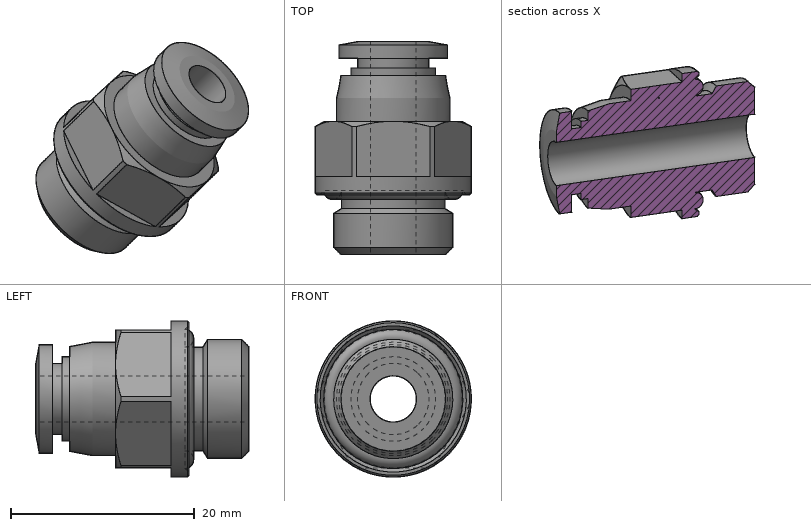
import cadquery as cq
import math


BORE_RADIUS = 2.5
THREAD_RADIUS = 6.48
THREAD_END_CHAMFER = 0.8
THREAD_LENGTH = 5.0
NECK_RADIUS = 5.65
RUNOUT_LENGTH = 0.5

FLANGE_RADIUS = 8.5
FLANGE_FACE_Y = 6.5
FLANGE_CHAMFER = 0.2
FLANGE_LENGTH = 2.0
GROOVE_MOUTH_RADIUS = 7.95
RING_SECTION_RADIUS = 0.96
RING_TIP_Y = 6.0

HEX_SIDES = 6
HEX_ACROSS_FLATS = 15.0
HEX_LENGTH = 6.0
HEX_CHAMFER_ANGLE = 30.0

SLEEVE_RADIUS = 6.18
SLEEVE_STRAIGHT_LENGTH = 2.5
SLEEVE_TAPER_LENGTH = 2.5
SLEEVE_TIP_RADIUS = 5.7
STEP_RADIUS = 4.6
STEP_LENGTH = 0.8
COLLAR_NECK_RADIUS = 3.88
COLLAR_NECK_LENGTH = 1.05
COLLAR_RADIUS = 5.92
COLLAR_LENGTH = 1.85
COLLAR_BEVEL_LENGTH = 0.4
COLLAR_FACE_RADIUS = 3.75

PROFILE_PLANE = cq.Plane(origin=(0, 0, 0), xDir=(0, 0, 1), normal=(-1, 0, 0))

RING_CENTER_RADIUS = NECK_RADIUS + RING_SECTION_RADIUS
RING_CENTER_Y = RING_TIP_Y + RING_SECTION_RADIUS
HEX_START_Y = FLANGE_FACE_Y + FLANGE_LENGTH
HEX_END_Y = HEX_START_Y + HEX_LENGTH
TAPER_START_Y = HEX_END_Y + SLEEVE_STRAIGHT_LENGTH
SLEEVE_END_Y = TAPER_START_Y + SLEEVE_TAPER_LENGTH
STEP_END_Y = SLEEVE_END_Y + STEP_LENGTH
COLLAR_START_Y = STEP_END_Y + COLLAR_NECK_LENGTH
COLLAR_END_Y = COLLAR_START_Y + COLLAR_LENGTH


def revolve_about_y(profile):
    """Turn a closed (radius, y) profile a full revolution about the Y axis."""
    return profile.close().revolve(360, (0, 0, 0), (0, 1, 0))


def spigot_and_flange():
    """Threaded spigot, neck, and flange with the sealing ring half sunk into its groove."""
    profile = (
        cq.Workplane(PROFILE_PLANE)
        .lineTo(THREAD_RADIUS - THREAD_END_CHAMFER, 0)
        .lineTo(THREAD_RADIUS, THREAD_END_CHAMFER)
        .lineTo(THREAD_RADIUS, THREAD_LENGTH - RUNOUT_LENGTH)
        .lineTo(NECK_RADIUS, THREAD_LENGTH)
        .lineTo(NECK_RADIUS, RING_CENTER_Y)
        .threePointArc(
            (RING_CENTER_RADIUS, RING_TIP_Y),
            (RING_CENTER_RADIUS + RING_SECTION_RADIUS, RING_CENTER_Y),
        )
        .lineTo(GROOVE_MOUTH_RADIUS, FLANGE_FACE_Y)
        .lineTo(FLANGE_RADIUS - FLANGE_CHAMFER, FLANGE_FACE_Y)
        .lineTo(FLANGE_RADIUS, FLANGE_FACE_Y + FLANGE_CHAMFER)
        .lineTo(FLANGE_RADIUS, HEX_START_Y)
        .lineTo(0, HEX_START_Y)
    )
    return revolve_about_y(profile)


def hexagon():
    """Hexagon with two flats facing +Z and -Z, corners turned to the flange diameter and chamfered."""
    across_corners = HEX_ACROSS_FLATS / math.cos(math.pi / HEX_SIDES)
    prism = (
        cq.Workplane("XZ", origin=(0, HEX_START_Y, 0))
        .polygon(HEX_SIDES, across_corners)
        .extrude(-HEX_LENGTH)
    )
    chamfer_top_radius = HEX_ACROSS_FLATS / 2
    chamfer_width = FLANGE_RADIUS - chamfer_top_radius
    chamfer_height = chamfer_width * math.tan(math.radians(HEX_CHAMFER_ANGLE))
    envelope = (
        cq.Workplane(PROFILE_PLANE)
        .moveTo(0, HEX_START_Y)
        .lineTo(FLANGE_RADIUS, HEX_START_Y)
        .lineTo(FLANGE_RADIUS, HEX_END_Y - chamfer_height)
        .lineTo(chamfer_top_radius, HEX_END_Y)
        .lineTo(0, HEX_END_Y)
    )
    return prism.intersect(revolve_about_y(envelope))


def sleeve_and_collar():
    """Tapered sleeve, stepped neck and bevelled release collar."""
    profile = (
        cq.Workplane(PROFILE_PLANE)
        .moveTo(0, HEX_END_Y)
        .lineTo(SLEEVE_RADIUS, HEX_END_Y)
        .lineTo(SLEEVE_RADIUS, TAPER_START_Y)
        .lineTo(SLEEVE_TIP_RADIUS, SLEEVE_END_Y)
        .lineTo(STEP_RADIUS, SLEEVE_END_Y)
        .lineTo(STEP_RADIUS, STEP_END_Y)
        .lineTo(COLLAR_NECK_RADIUS, STEP_END_Y)
        .lineTo(COLLAR_NECK_RADIUS, COLLAR_START_Y)
        .lineTo(COLLAR_RADIUS, COLLAR_START_Y)
        .lineTo(COLLAR_RADIUS, COLLAR_END_Y - COLLAR_BEVEL_LENGTH)
        .lineTo(COLLAR_FACE_RADIUS, COLLAR_END_Y)
        .lineTo(0, COLLAR_END_Y)
    )
    return revolve_about_y(profile)


def bore():
    """Through passage along the axis."""
    return cq.Workplane("XZ").circle(BORE_RADIUS).extrude(-COLLAR_END_Y)


result = spigot_and_flange().union(hexagon()).union(sleeve_and_collar()).cut(bore())